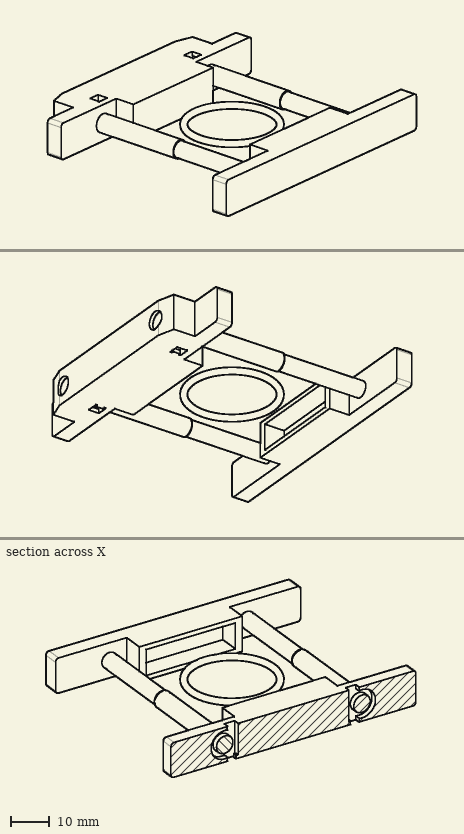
import cadquery as cq

LENGTH_X = 69.0
WIDTH_Y = 75.0
HEIGHT = 10.3
BAR_END_FILLET = 1.0

LEFT_X = -LENGTH_X / 2
RIGHT_X = LENGTH_X / 2
MID_Z = HEIGHT / 2

BLOCK_WIDTH = 31.5

HOUSING_BAR_BACK_X = LEFT_X + 8.1
HOUSING_BAR_FRONT_X = LEFT_X + 12.75
HOUSING_BLOCK_FRONT_X = LEFT_X + 18.5
BODY_WIDTH = 54.75
BEVEL_DEPTH = 1.5
BEVEL_WIDTH = 4.95

PLATE_THICKNESS = 4.65
PLATE_BLOCK_DEPTH = 6.1
PLATE_BACK_X = RIGHT_X - PLATE_THICKNESS
POCKET_DEPTH = 6.0
POCKET_WIDTH = 27.3
POCKET_HEIGHT = 7.6

ROD_Y = 21.0
ROD_DIAMETER = 5.2
ROD_THIN_DIAMETER = 4.65
ROD_END_RECESS = 1.0
ROD_END_FILLET = 0.2
ROD_START_X = LEFT_X + ROD_END_RECESS
ROD_STEP_X = LEFT_X + 38.85

WINDOW_SIZE = 3.15
WINDOW_X = LEFT_X + 9.15
WINDOW_Y = 18.5
TAB_LENGTH = 2.2
TAB_DEPTH = 0.6

GROOVE_RADIUS = ROD_Y - (WINDOW_Y - WINDOW_SIZE / 2)
TAB_HEIGHT = MID_Z - GROOVE_RADIUS

RING_X = (HOUSING_BAR_FRONT_X + PLATE_BACK_X) / 2
RING_OUTER_DIAMETER = 26.85
RING_WIRE_DIAMETER = 1.95

SIDES = (-1, 1)


def box_between(x_start, x_end, width, height=HEIGHT, z_bottom=0.0):
    """Box symmetric about Y = 0 that spans x_start to x_end."""
    return (
        cq.Workplane("XY")
        .box(x_end - x_start, width, height, centered=(False, True, False))
        .translate((x_start, 0, z_bottom))
    )


def cross_bar(x_start, x_end):
    """Full-width bar with the corners at both tips rounded."""
    return box_between(x_start, x_end, WIDTH_Y).edges("|X").fillet(BAR_END_FILLET)


def rod_cylinder(side, x_start, x_end, diameter):
    """Cylinder along X on the axis of the rod at the given side."""
    return (
        cq.Workplane("YZ", origin=(x_start, side * ROD_Y, MID_Z))
        .circle(diameter / 2)
        .extrude(x_end - x_start)
    )


def bevelled_body():
    """Outer body of the housing, narrowed by a bevel at both corners of its face."""
    half_width = BODY_WIDTH / 2
    half_face = half_width - BEVEL_WIDTH
    bevel_end_x = LEFT_X + BEVEL_DEPTH
    outline = [
        (LEFT_X, -half_face),
        (bevel_end_x, -half_width),
        (HOUSING_BAR_FRONT_X, -half_width),
        (HOUSING_BAR_FRONT_X, half_width),
        (bevel_end_x, half_width),
        (LEFT_X, half_face),
    ]
    return cq.Workplane("XY").polyline(outline).close().extrude(HEIGHT)


def window(side):
    """Square opening through the housing, without the tab on its inner wall."""
    opening = (
        cq.Workplane("XY")
        .center(WINDOW_X, side * WINDOW_Y)
        .rect(WINDOW_SIZE, WINDOW_SIZE)
        .extrude(HEIGHT)
    )
    inner_wall_y = WINDOW_Y - WINDOW_SIZE / 2
    tab = (
        cq.Workplane("XY")
        .center(WINDOW_X, side * (inner_wall_y + TAB_DEPTH / 2))
        .rect(TAB_LENGTH, TAB_DEPTH)
        .extrude(TAB_HEIGHT)
    )
    return opening.cut(tab)


def rod_groove(side):
    """Disc-shaped hollow coaxial with the rod, which widens the window below its mouth."""
    half_length = WINDOW_SIZE / 2
    diameter = 2 * GROOVE_RADIUS
    return rod_cylinder(side, WINDOW_X - half_length, WINDOW_X + half_length, diameter)


def make_housing():
    body = cross_bar(HOUSING_BAR_BACK_X, HOUSING_BAR_FRONT_X)
    body = body.union(bevelled_body())
    body = body.union(box_between(HOUSING_BAR_BACK_X, HOUSING_BLOCK_FRONT_X, BLOCK_WIDTH))
    for side in SIDES:
        body = body.cut(window(side))
        body = body.cut(rod_groove(side))
        body = body.cut(rod_cylinder(side, LEFT_X, HOUSING_BAR_FRONT_X, ROD_DIAMETER))
    return body


def make_end_plate():
    block_face_x = PLATE_BACK_X - PLATE_BLOCK_DEPTH
    pocket = box_between(
        block_face_x,
        block_face_x + POCKET_DEPTH,
        POCKET_WIDTH,
        POCKET_HEIGHT,
        (HEIGHT - POCKET_HEIGHT) / 2,
    )
    plate = cross_bar(PLATE_BACK_X, RIGHT_X)
    plate = plate.union(box_between(block_face_x, RIGHT_X, BLOCK_WIDTH))
    return plate.cut(pocket)


def make_rod(side):
    """Rod that fills the housing bore, steps down and butts against the end plate."""
    thick = rod_cylinder(side, ROD_START_X, ROD_STEP_X, ROD_DIAMETER)
    thick = thick.faces("<X").edges().fillet(ROD_END_FILLET)
    thin = rod_cylinder(side, ROD_STEP_X, PLATE_BACK_X, ROD_THIN_DIAMETER)
    return thick.union(thin)


def make_ring():
    wire_radius = RING_WIRE_DIAMETER / 2
    centre_radius = RING_OUTER_DIAMETER / 2 - wire_radius
    ring = cq.Solid.makeTorus(centre_radius, wire_radius)
    return cq.Workplane("XY").add(ring.translate(cq.Vector(RING_X, 0, MID_Z)))


housing = make_housing()
end_plate = make_end_plate()
rods = [make_rod(side) for side in SIDES]
ring = make_ring()

result = cq.Compound.makeCompound(
    [housing.val(), end_plate.val(), *[rod.val() for rod in rods], ring.val()]
)